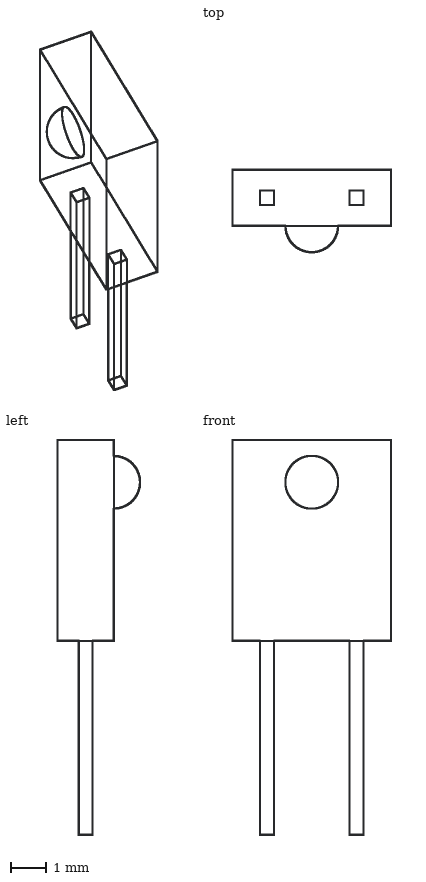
import cadquery as cq

body_width = 4.5
body_depth = 1.6
overall_height = 11.2
lead_length = 5.5
body_height = overall_height - lead_length

lens_radius = 0.75
lens_drop = 1.2
lens_height = body_height - lens_drop

lead_size = 0.4
lead_pitch = 2.54


def make_body():
    return cq.Workplane("XY").box(body_width, body_depth, body_height, centered=(True, False, False))


def make_lens():
    """Full ball centred on the front face; its rear half is buried in the body."""
    return cq.Workplane("XY").sphere(lens_radius).translate((0, 0, lens_height))


def make_lead(x):
    lead = cq.Workplane("XY").box(lead_size, lead_size, lead_length, centered=(True, True, False))
    return lead.translate((x, body_depth / 2, -lead_length))


result = make_body().union(make_lens())
for side in (-1, 1):
    result = result.union(make_lead(side * lead_pitch / 2))